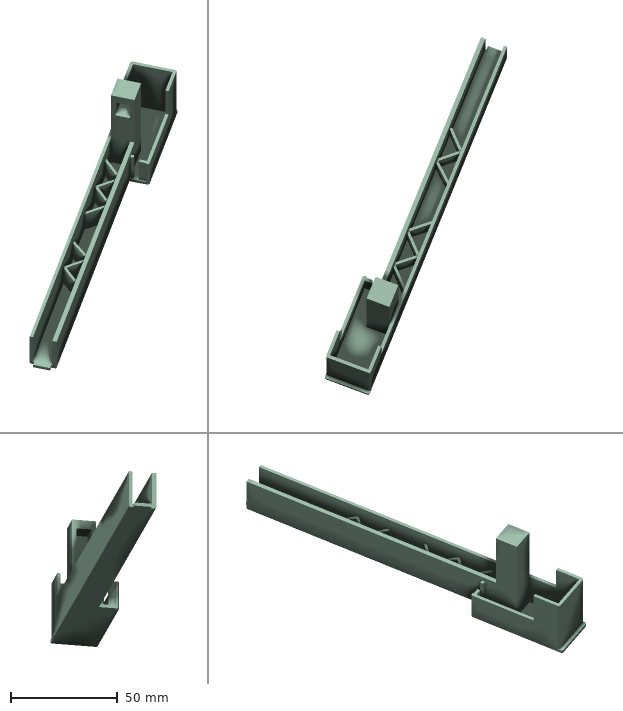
import cadquery as cq
import math


total_length = 179.9
box_width = 22.5
wall = 1.6
floor = 1.6

rear_lip = 1.6
box_front_y = 129.9
box_height = 29.3
high_wall_length = 14.2
left_wall_height = 18.0
right_wall_height = 13.7
box_rear_y = total_length - rear_lip
box_step_y = box_rear_y - high_wall_length

front_wall_inset = 0.5
left_stub_width = wall
left_stub_height = 15.7
right_stub_x = 17.5

channel_front_y = 2.0
tongue_clearance = 0.5
channel_inner_width = 9.4
channel_right_wall = 2.2
channel_inner_right = wall + channel_inner_width
channel_width = channel_inner_right + channel_right_wall

rib_shift = 0.4
rib_left_x = wall + rib_shift
rib_right_x = channel_inner_right + rib_shift
rib_thickness = 1.3
rib_height = 11.9
rear_zigzag_y = 128.8
rear_rib_steps = [9.7, 8.1, 9.7, 8.1]
front_zigzag_y = 72.7
front_rib_steps = [8.5, 8.3, 9.5]
free_end_trim = 1.5

tower_front_y = 138.0
tower_depth = 11.5
tower_top = 46.5
window_bottom = 33.6
window_top = 42.1
window_side_wall = 2.2
window_back_wall = window_side_wall

corner_radius = 1.0
bottom_radius = 0.9
lip_radius = 0.9


def block(x_range, y_range, z_range):
    """Axis-aligned box spanning the given (low, high) ranges."""
    size = [high - low for low, high in (x_range, y_range, z_range)]
    corner = (x_range[0], y_range[0], z_range[0])
    return cq.Workplane("XY").box(*size, centered=False).translate(corner)


def box_outside():
    """Solid outline of the rear box, its front part lower than its rear part."""
    low_part = (box_front_y, box_step_y)
    outside = (
        block((0, box_width), (box_front_y, box_rear_y), (0, box_height))
        .cut(block((0, channel_inner_right), low_part, (left_wall_height, box_height)))
        .cut(block((channel_inner_right, box_width), low_part, (right_wall_height, box_height)))
        .edges("|Y and <X and <Z").fillet(bottom_radius)
        .edges("(|Z and >Y) or (|Z and >X and <Y)").fillet(corner_radius)
    )
    lip = (
        block((0, box_width), (box_rear_y - wall, total_length), (0, floor))
        .edges("|Z and >Y").fillet(lip_radius)
    )
    return outside.union(lip)


def channel_outside():
    """Solid outline of the front channel, with rounded lower edges."""
    return (
        block((0, channel_width), (channel_front_y, box_front_y), (0, left_wall_height))
        .edges("|Y and <Z").fillet(bottom_radius)
    )


def channel_right_side():
    """Right channel wall, which runs on into the box as far as the tower."""
    thickness = (channel_inner_right, channel_width)
    return block(thickness, (channel_front_y, tower_front_y), (floor, left_wall_height))


def front_tongue():
    """Continuation of the channel floor in front of its walls."""
    sides = (wall + tongue_clearance, channel_inner_right - tongue_clearance)
    return block(sides, (0, channel_front_y), (0, floor))


def front_wall_stubs():
    """Two pieces of the box front wall, one on each side of the cable gap."""
    depth = (box_front_y + front_wall_inset, box_front_y + front_wall_inset + wall)
    left_stub = block((channel_width, channel_width + left_stub_width), depth, (floor, left_stub_height))
    right_stub = block((right_stub_x, box_width - wall), depth, (floor, right_wall_height))
    return left_stub.union(right_stub)


def rib(start, end, end_trim):
    """Upright rib along the line between two (x, y) points, shortened by end_trim at its end."""
    run_x = end[0] - start[0]
    run_y = end[1] - start[1]
    half = rib_thickness / 2
    length = math.hypot(run_x, run_y)
    return (
        block((-half, length + half - end_trim), (-half, half), (floor, rib_height))
        .rotate((0, 0, 0), (0, 0, 1), math.degrees(math.atan2(run_y, run_x)))
        .translate((start[0], start[1], 0))
    )


def zigzag(rear_y, steps, last_trim=0):
    """Ribs running forward from the left wall, bouncing between the channel walls."""
    near_x, far_x = rib_left_x, rib_right_x
    y = rear_y
    ribs = cq.Workplane("XY")
    for index, step in enumerate(steps):
        is_last = index == len(steps) - 1
        ribs = ribs.add(rib((near_x, y), (far_x, y - step), last_trim if is_last else 0))
        near_x, far_x = far_x, near_x
        y -= step
    return ribs.combine()


def build_tray():
    """Box, channel and ribs as one piece."""
    box_room = block((wall, box_width - wall), (box_front_y, box_rear_y - wall), (floor, box_height))
    channel_room = block(
        (wall, channel_inner_right),
        (channel_front_y, box_front_y),
        (floor, left_wall_height),
    )
    rear_ribs = zigzag(rear_zigzag_y, rear_rib_steps)
    front_ribs = zigzag(front_zigzag_y, front_rib_steps, free_end_trim)
    return (
        box_outside()
        .union(channel_outside())
        .cut(box_room)
        .cut(channel_room)
        .union(channel_right_side())
        .union(front_tongue())
        .union(front_wall_stubs())
        .union(rear_ribs.intersect(channel_room))
        .union(front_ribs.intersect(channel_room))
    )


def build_tower():
    """Post standing on the box floor, with a blind window in its front face."""
    tower_rear_y = tower_front_y + tower_depth
    post = block((wall, channel_width), (tower_front_y, tower_rear_y), (floor, tower_top))
    window = block(
        (wall + window_side_wall, channel_width - window_side_wall),
        (tower_front_y, tower_rear_y - window_back_wall),
        (window_bottom, window_top),
    )
    return post.cut(window)


tray = build_tray()
tower = build_tower()

result = cq.Compound.makeCompound([tray.val(), tower.val()])